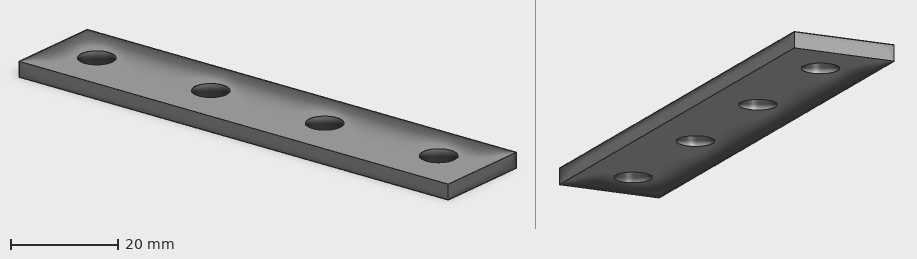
import cadquery as cq

length = 101.6
width = 20.64
thickness = 3.175

hole_diameter = 7.14
hole_count = 4
end_distance = width / 2
hole_pitch = (length - 2 * end_distance) / (hole_count - 1)


def make_bar():
    return cq.Workplane("XY").box(length, width, thickness)


def drill_hole_row(bar):
    return bar.faces(">Z").workplane().rarray(hole_pitch, 1, hole_count, 1).hole(hole_diameter)


result = drill_hole_row(make_bar())